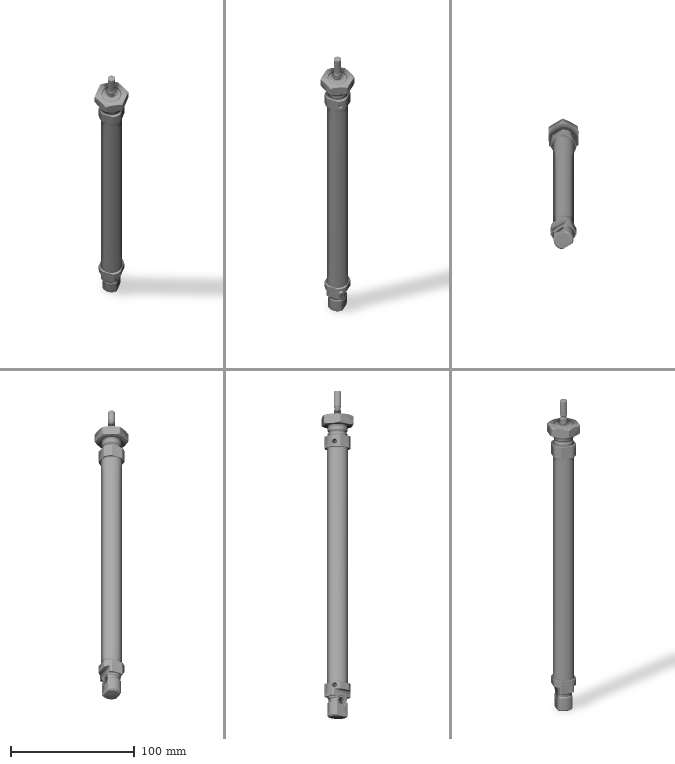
import cadquery as cq
import math

total_height = 271.0
tube_dia = 17.3

cap_across_flats = 18.7
cap_flat_width = 9.2
cap_dia = math.hypot(cap_across_flats, cap_flat_width)
front_cap_bottom = 223.3
front_cap_top = 233.0
rear_cap_bottom = 16.5
rear_cap_top = 27.5

nut_sides = 6
nut_across_flats = 24.0
nut_bottom = 242.3
nut_top = 250.0
nut_corner_dia = 27.6
nut_face_dia = 24.5
nut_chamfer_height = 0.8

collar_dia = 16.0
collar_relief_dia = 14.4
collar_tip_dia = 14.4
collar_top = nut_top
relief_bottom = 236.3
relief_top = 237.0

eye_dia = 16.0
eye_neck_dia = 14.4
eye_neck_bottom = 12.5
eye_neck_top = 14.5
eye_tip_chamfer = 1.0
eye_thickness = 12.0
eye_flat_top = 21.7
pivot_dia = 6.0
pivot_counterbore_dia = 8.0
pivot_counterbore_depth = 0.8
pivot_mouth_dia = 9.2
pivot_height = 13.0

screw_hole_dia = 4.0
screw_hole_depth = 4.0
screw_hole_angle = 128.0
screw_hole_heights = (24.7, 227.5)

rod_dia = 6.0
rod_bottom = rear_cap_top
rod_groove_dia = 5.0
rod_groove_bottom = 255.3
rod_groove_top = 258.0
rod_chamfer = 0.5
wrench_across_flats = 5.0
wrench_bottom = 252.0
wrench_top = 254.7


def cylinder(diameter, bottom, top):
    """Vertical cylinder on the main axis between two heights."""
    return cq.Workplane("XY").workplane(offset=bottom).circle(diameter / 2).extrude(top - bottom)


def block(size_x, size_y, bottom, top):
    """Upright box centred on the main axis between two heights."""
    return cq.Workplane("XY").workplane(offset=bottom).rect(size_x, size_y).extrude(top - bottom)


def make_cap(bottom, top):
    """Round end cap with four flats facing +-X and +-Y."""
    flats = block(cap_across_flats, cap_across_flats, bottom, top)
    return cylinder(cap_dia, bottom, top).intersect(flats)


def make_collar():
    """Nut collar with a bevelled relief groove above its foot."""
    tip_chamfer = (collar_dia - collar_tip_dia) / 2
    groove_chamfer = (collar_dia - collar_relief_dia) / 2
    foot = cylinder(collar_dia, front_cap_top, relief_bottom).faces(">Z").chamfer(groove_chamfer)
    relief = cylinder(collar_relief_dia, front_cap_top, relief_top)
    thread = cylinder(collar_dia, relief_top, collar_top)
    thread = thread.faces("<Z").chamfer(groove_chamfer).faces(">Z").chamfer(tip_chamfer)
    return foot.union(relief).union(thread)


def make_eye():
    """Round rear eye with a bevelled neck groove below the cap."""
    neck_chamfer = (eye_dia - eye_neck_dia) / 2
    lower = cylinder(eye_dia, 0, eye_neck_bottom).faces("<Z").chamfer(eye_tip_chamfer)
    lower = lower.faces(">Z").chamfer(neck_chamfer)
    neck = cylinder(eye_neck_dia, eye_tip_chamfer, rear_cap_bottom)
    shoulder = cylinder(eye_dia, eye_neck_top, rear_cap_bottom).faces("<Z").chamfer(neck_chamfer)
    return lower.union(neck).union(shoulder)


def cut_eye_flats(housing):
    """Narrow the eye and the lower part of the rear cap to two flats facing +-X."""
    flats = block(eye_thickness, cap_dia, 0, eye_flat_top)
    surround = block(2 * cap_dia, 2 * cap_dia, 0, eye_flat_top)
    return housing.cut(surround.cut(flats))


def make_pivot_cutter():
    """Cross hole along X with a counterbore and a chamfered mouth at each flat."""
    half_thickness = eye_thickness / 2
    mouth_depth = (pivot_mouth_dia - pivot_counterbore_dia) / 2
    bore_radius = pivot_dia / 2
    counterbore_radius = pivot_counterbore_dia / 2
    mouth_radius = pivot_mouth_dia / 2
    floor_x = half_thickness - pivot_counterbore_depth
    half_profile = (
        cq.Workplane("XZ")
        .polyline([
            (0, 0),
            (0, bore_radius),
            (floor_x, bore_radius),
            (floor_x, counterbore_radius),
            (half_thickness - mouth_depth, counterbore_radius),
            (half_thickness, mouth_radius),
            (half_thickness, 0),
        ])
        .close()
    )
    half = half_profile.revolve(360, (0, 0, 0), (1, 0, 0))
    return half.union(half.mirror("YZ")).translate((0, 0, pivot_height))


def make_screw_hole(height):
    """Blind radial hole, turned about Z from the +X direction."""
    floor_radius = cap_dia / 2 - screw_hole_depth
    return (
        cq.Workplane("YZ").workplane(offset=floor_radius).center(0, height)
        .circle(screw_hole_dia / 2).extrude(cap_dia)
        .rotate((0, 0, 0), (0, 0, 1), screw_hole_angle)
    )


def make_housing():
    """Tube, caps, collar and eye as one solid, bored for the rod."""
    housing = cylinder(tube_dia, rear_cap_bottom, front_cap_top)
    housing = housing.union(make_cap(front_cap_bottom, front_cap_top))
    housing = housing.union(make_cap(rear_cap_bottom, rear_cap_top))
    housing = housing.union(make_collar()).union(make_eye())
    housing = cut_eye_flats(housing).cut(make_pivot_cutter())
    for height in screw_hole_heights:
        housing = housing.cut(make_screw_hole(height))
    return housing.cut(cylinder(rod_dia, rod_bottom, total_height))


def make_rod():
    """Piston rod with a bevelled groove and two wrench flats facing +-X."""
    groove_chamfer = (rod_dia - rod_groove_dia) / 2
    shank = cylinder(rod_dia, rod_bottom, rod_groove_bottom + groove_chamfer)
    shank = shank.faces(">Z").chamfer(groove_chamfer)
    tip = cylinder(rod_dia, rod_groove_top - groove_chamfer, total_height)
    tip = tip.faces("<Z").chamfer(groove_chamfer).faces(">Z").chamfer(rod_chamfer)
    rod = shank.union(cylinder(rod_groove_dia, rod_bottom, rod_groove_top)).union(tip)
    surround = block(2 * rod_dia, 2 * rod_dia, wrench_bottom, wrench_top)
    flats = block(wrench_across_flats, 2 * rod_dia, wrench_bottom, wrench_top)
    return rod.cut(surround.cut(flats))


def make_nut():
    """Hexagon nut with two sides facing +-X, its corners turned down at both ends."""
    half_side_angle = 180 / nut_sides
    across_corners = nut_across_flats / math.cos(math.radians(half_side_angle))
    blank = (
        cq.Workplane("XY").workplane(offset=nut_bottom)
        .polygon(nut_sides, across_corners).extrude(nut_top - nut_bottom)
        .rotate((0, 0, 0), (0, 0, 1), half_side_angle)
    )
    rim = (nut_corner_dia - nut_face_dia) / 2
    turned = cylinder(nut_corner_dia, nut_bottom, nut_top)
    turned = turned.faces("<Z or >Z").chamfer(nut_chamfer_height, rim)
    return blank.intersect(turned).cut(cylinder(collar_dia, nut_bottom, nut_top))


housing = make_housing().solids()
rod = make_rod().solids()
nut = make_nut().solids()
result = cq.Compound.makeCompound([housing.val(), rod.val(), nut.val()])